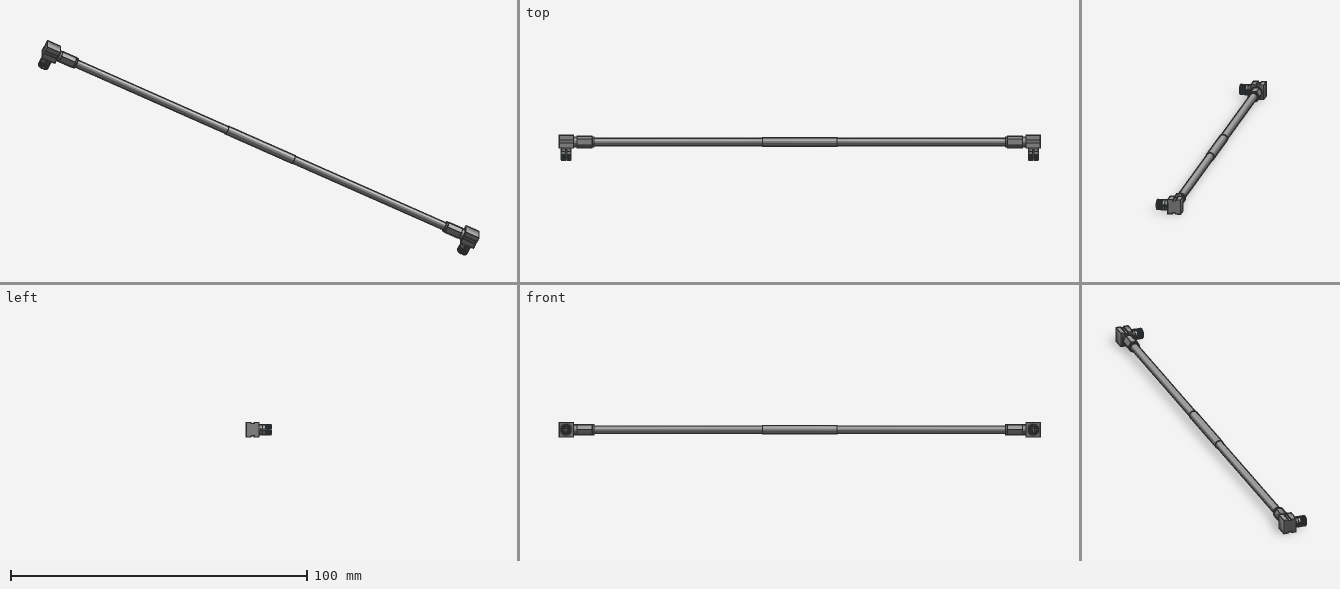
import cadquery as cq

overall_length = 162.4
overall_depth = 8.51

block_height = 5.0
block_length = 4.9
block_depth = 4.4
block_offset_y = 0.14
groove_width = 1.0
groove_depth = 0.4

plug_inset = 2.35
plug_diameter = 3.5
plug_neck_diameter = 3.45
plug_neck_length = 1.2
plug_groove_diameter = 3.3
plug_groove_width = 0.3
plug_groove_starts = (2.1, 2.7, 3.3)
plug_tip_chamfer = 0.2
plug_bore_diameter = 2.6
plug_bore_depth = 3.6
slot_width = 0.5
insulator_diameter = 1.8
insulator_recess = 1.2
contact_diameter = 0.9
contact_recess = 0.4

round_diameter = 3.5
collar_length = 1.05
hex_corner_diameter = 4.05
hex_length = 5.3
hex_chamfer_length = 0.5
hex_chamfer_height = 0.2
mouth_length = 0.6

cable_diameter = 2.6
marker_diameter = 2.9
marker_length = 25.0

block_outer_x = -overall_length / 2
block_inner_x = block_outer_x + block_length
block_centre_x = block_outer_x + block_length / 2
block_front_y = block_offset_y - block_depth / 2
plug_x = block_outer_x + plug_inset
plug_length = overall_depth - block_depth


def rod_along_x(start_x, length, diameter):
    return cq.Workplane("YZ", origin=(start_x, 0, 0)).circle(diameter / 2).extrude(length)


def plug_disc(start, length, diameter):
    """Disc on the plug axis, with `start` measured from the housing towards the tip."""
    plane = cq.Workplane("XZ", origin=(plug_x, block_front_y - start, 0))
    return plane.circle(diameter / 2).extrude(length)


def plug_ring(start, length, inner_diameter):
    """Ring that trims the plug down to `inner_diameter` over `length`."""
    outer = plug_disc(start, length, 2 * plug_diameter)
    return outer.cut(plug_disc(start, length, inner_diameter))


def make_block():
    centre = (block_centre_x, block_offset_y, 0)
    block = cq.Workplane(origin=centre).box(block_length, block_depth, block_height)
    for side in (1, -1):
        face_centre = (block_centre_x, block_offset_y, side * block_height / 2)
        groove = cq.Workplane(origin=face_centre).box(block_length, groove_width, 2 * groove_depth)
        block = block.cut(groove)
    return block


def make_plug():
    plug = plug_disc(0, plug_length, plug_diameter).faces("<Y").chamfer(plug_tip_chamfer)
    plug = plug.cut(plug_ring(0, plug_neck_length, plug_neck_diameter))
    for start in plug_groove_starts:
        plug = plug.cut(plug_ring(start, plug_groove_width, plug_groove_diameter))

    bore_start = plug_length - plug_bore_depth
    plug = plug.cut(plug_disc(bore_start, plug_bore_depth, plug_bore_diameter))
    slot_centre = (plug_x, block_front_y - bore_start - plug_bore_depth / 2, 0)
    for size_x, size_z in ((slot_width, plug_diameter), (plug_diameter, slot_width)):
        plug = plug.cut(cq.Workplane(origin=slot_centre).box(size_x, plug_bore_depth, size_z))

    plug = plug.union(plug_disc(0, plug_length - insulator_recess, insulator_diameter))
    return plug.union(plug_disc(0, plug_length - contact_recess, contact_diameter))


def make_connector():
    return make_block().union(make_plug())


def make_ferrule():
    hex_start_x = block_inner_x + collar_length
    mouth_start_x = hex_start_x + hex_length
    ferrule_length = collar_length + hex_length + mouth_length

    hex_plane = cq.Workplane("YZ", origin=(hex_start_x, 0, 0))
    hexagon = hex_plane.polygon(6, hex_corner_diameter).extrude(hex_length)
    corner_rod = rod_along_x(hex_start_x, hex_length, hex_corner_diameter)
    end_edge = corner_rod.faces(">X").edges()
    hexagon = hexagon.intersect(end_edge.chamfer(hex_chamfer_height, hex_chamfer_length))

    ferrule = rod_along_x(block_inner_x, collar_length, round_diameter).union(hexagon)
    ferrule = ferrule.union(rod_along_x(mouth_start_x, mouth_length, round_diameter))
    return ferrule.cut(rod_along_x(block_inner_x, ferrule_length, cable_diameter))


def make_cable():
    cable_length = 2 * abs(block_inner_x)
    cable = rod_along_x(block_inner_x, cable_length, cable_diameter)
    return cable.union(rod_along_x(-marker_length / 2, marker_length, marker_diameter))


bodies = [make_cable().solids().val()]
for end_body in (make_connector(), make_ferrule()):
    end_solid = end_body.solids().val()
    bodies += [end_solid, end_solid.mirror("YZ")]

result = cq.Compound.makeCompound(bodies)